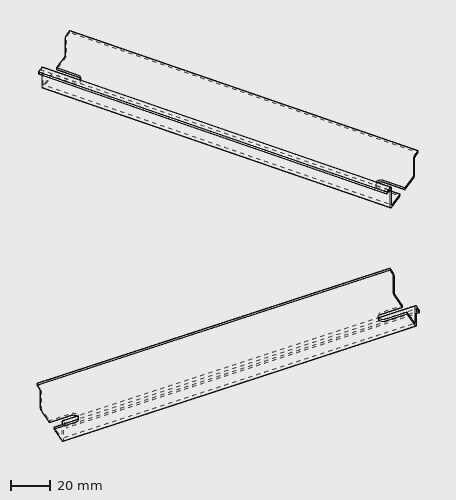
import cadquery as cq

length = 199.0
overall_width = 35.0
height = 15.0

thickness = 1.4
channel_width = 27.5
inner_bend_radius = 0.8
outer_bend_radius = 1.5

slot_width = 5.4
slot_depth = 15.0

half_overall = overall_width / 2
half_channel = channel_width / 2
half_inside = half_channel - thickness


def make_channel():
    """Fold the sheet into a U with outward lips, running along X."""
    lip_underside = height - thickness
    section = [
        (-half_overall, height),
        (-half_inside, height),
        (-half_inside, thickness),
        (half_inside, thickness),
        (half_inside, height),
        (half_overall, height),
        (half_overall, lip_underside),
        (half_channel, lip_underside),
        (half_channel, 0),
        (-half_channel, 0),
        (-half_channel, lip_underside),
        (-half_overall, lip_underside),
    ]
    channel = cq.Workplane("YZ").polyline(section).close().extrude(length / 2, both=True)

    def round_bends(body, bends, radius):
        for y, z in bends:
            edge = cq.selectors.NearestToPointSelector((0, y, z))
            body = body.edges("|X").edges(edge).fillet(radius)
        return body

    for side in (-1, 1):
        outer_bends = [(side * half_inside, height), (side * half_channel, 0)]
        inner_bends = [(side * half_inside, thickness), (side * half_channel, lip_underside)]
        channel = round_bends(channel, outer_bends, outer_bend_radius)
        channel = round_bends(channel, inner_bends, inner_bend_radius)
    return channel


def make_end_slot(side):
    """Round-bottomed slot entering the floor from one end of the rail."""
    return (
        cq.Workplane("XY")
        .center(side * length / 2, 0)
        .slot2D(2 * slot_depth, slot_width)
        .extrude(height)
    )


result = make_channel()
for end in (-1, 1):
    result = result.cut(make_end_slot(end))